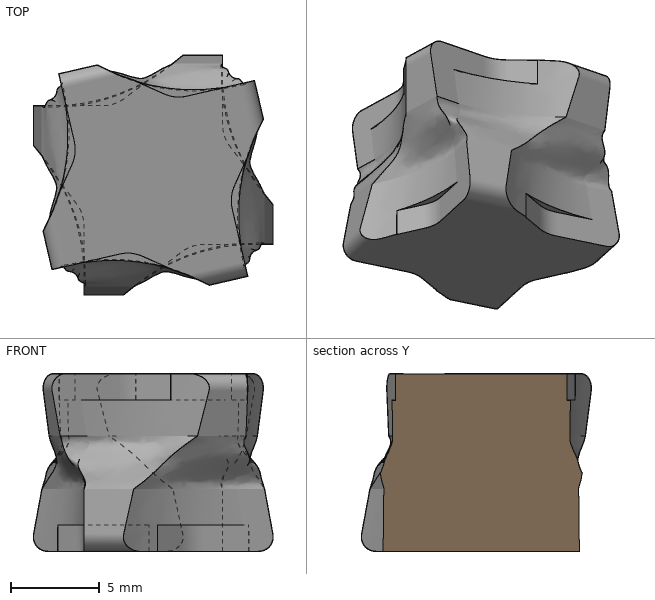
import cadquery as cq
import math

SPAN = 13.5
HEIGHT = 10.0
WAIST_HEIGHT = HEIGHT / 2
FLIP_AXIS_ANGLE = -83.5
LOBE_ANGLES = (0, 90, 180, 270)

FLANK = 3.9
SHOULDER_HEIGHT = 3.51
TIP_DRAFT = 10.4
TIP_FILLET = 0.82

TIP_SIDE_X = -1.88
TIP_SIDE_DRIFT = 0.22
FLANK_END_X = 5.26
FLANK_END_DRIFT = -0.15
HOLLOW_DEPTH = 0.66
HOLLOW_DRIFT = -0.05

NOTCH_HEIGHT = 1.48
NOTCH_START = (0.23, -5.36)
NOTCH_ANGLE = 37.0
NOTCH_RADIUS = 2.0

WAIST_HALF_WIDTH = 5.48
WAIST_SIDE_REACH = 5.75
WAIST_CORNER_REACH = 7.09
WAIST_CORNER_OFFSET = 43.0
WAIST_SIDE_OFFSET = WAIST_CORNER_OFFSET / 2

SHOULDER_STEPS = 2
CORNER_EASE_START = 3.71
STRAIGHT_TOLERANCE = 1.35e-07


DRAFT = math.radians(TIP_DRAFT)
TIP_TRIM = TIP_FILLET * math.tan(math.pi / 4 + DRAFT / 2)
TIP_REACH = SPAN / 2 + TIP_TRIM - TIP_FILLET


def polar(radius, degrees):
    angle = math.radians(degrees)
    return (radius * math.cos(angle), radius * math.sin(angle))


def turn(point, degrees):
    x, y = point
    return polar(math.hypot(x, y), math.degrees(math.atan2(y, x)) + degrees)


def blend(start, end, weight):
    return tuple(a + (b - a) * weight for a, b in zip(start, end))


def lobe_points(height):
    """Corner, tip middle, tip side, hollow middle and flank end of the lobe on -Y."""
    tip_y = height * math.tan(DRAFT) - TIP_REACH
    corner = (-FLANK, tip_y)
    tip_side = (TIP_SIDE_X + TIP_SIDE_DRIFT * height, tip_y)
    flank_end = (FLANK_END_X + FLANK_END_DRIFT * height, -FLANK)
    depth = HOLLOW_DEPTH + HOLLOW_DRIFT * height
    chord_x = flank_end[0] - tip_side[0]
    chord_y = flank_end[1] - tip_side[1]
    chord = math.hypot(chord_x, chord_y)
    middle_x, middle_y = blend(tip_side, flank_end, 0.5)
    hollow = (middle_x - depth * chord_y / chord, middle_y + depth * chord_x / chord)
    return corner, blend(corner, tip_side, 0.5), tip_side, hollow, flank_end


def waist_points():
    """Waist points that the five lobe points run into."""
    return (
        polar(WAIST_CORNER_REACH, FLIP_AXIS_ANGLE - WAIST_CORNER_OFFSET),
        polar(WAIST_SIDE_REACH, FLIP_AXIS_ANGLE - WAIST_SIDE_OFFSET),
        polar(WAIST_HALF_WIDTH, FLIP_AXIS_ANGLE),
        polar(WAIST_SIDE_REACH, FLIP_AXIS_ANGLE + WAIST_SIDE_OFFSET),
        polar(WAIST_CORNER_REACH, FLIP_AXIS_ANGLE + WAIST_CORNER_OFFSET),
    )


def flip(point):
    """Half turn about the axis that swaps the layers, seen along Z."""
    x, y = point
    return turn((x, -y), 2 * FLIP_AXIS_ANGLE)


def curve(start, middle, end):
    """Parabolic edge through three points, or a line when they are in line."""
    pull = middle * 2 - (start + end) * 0.5
    if (pull - middle).Length < STRAIGHT_TOLERANCE:
        return cq.Edge.makeLine(start, end)
    return cq.Edge.makeBezier([start, pull, end])


def section(points, z):
    """Closed outline at height z, repeating the five points of one lobe around the axis."""
    edges = []
    for angle in LOBE_ANGLES:
        first, left, ridge, right, last = [cq.Vector(*turn(p, angle), z) for p in points]
        next_first = cq.Vector(*turn(points[0], angle + 90), z)
        edges.append(curve(first, left, ridge))
        edges.append(curve(ridge, right, last))
        edges.append(cq.Edge.makeLine(last, next_first))
    return cq.Wire.assembleEdges(edges)


def tapered_lobes():
    """Straight-sided part of a layer, from its end face to its shoulder."""
    sections = [section(lobe_points(h), h - WAIST_HEIGHT) for h in (0, SHOULDER_HEIGHT)]
    return cq.Workplane(cq.Solid.makeLoft(sections, True))


def tip_rounding():
    """Sharp corner to remove between the end face and the tip face on -Y."""
    centre_y = TIP_TRIM - TIP_REACH
    tangent_y = TIP_TRIM * math.sin(DRAFT) - TIP_REACH
    tangent_z = TIP_TRIM * math.cos(DRAFT)
    middle_y, middle_z = polar(TIP_FILLET, 225 - TIP_DRAFT / 2)
    return (
        cq.Workplane("YZ", origin=(0, 0, -WAIST_HEIGHT))
        .moveTo(centre_y, 0)
        .threePointArc((centre_y + middle_y, TIP_FILLET + middle_z), (tangent_y, tangent_z))
        .lineTo(-TIP_REACH, 0)
        .close()
        .extrude(SPAN / 2, both=True)
    )


def progress(height, start):
    """Fraction of the way from a starting height to the waist."""
    return max(0, height - start) / (WAIST_HEIGHT - start)


def waist():
    """Smooth body from the shoulder of one layer to the shoulder of the other."""
    lower = []
    for step in range(SHOULDER_STEPS):
        height = SHOULDER_HEIGHT + (WAIST_HEIGHT - SHOULDER_HEIGHT) * step / SHOULDER_STEPS
        t = progress(height, SHOULDER_HEIGHT)
        side_weight = t ** 2
        ridge_weight = t ** 2 * (3 - 2 * t)
        corner_weight = progress(height, CORNER_EASE_START) ** 2
        weights = (corner_weight, side_weight, ridge_weight, side_weight, corner_weight)
        points = [blend(*pair) for pair in zip(lobe_points(height), waist_points(), weights)]
        lower.append((points, height - WAIST_HEIGHT))
    upper = [([flip(p) for p in reversed(points)], -z) for points, z in reversed(lower)]
    levels = lower + [(waist_points(), 0)] + upper
    return cq.Workplane(cq.Solid.makeLoft([section(*level) for level in levels], False))


def notch():
    """Cutter with a sloped wall, a round bend and a wall flush with the lobe flank."""
    start_x, start_y = NOTCH_START
    half_bend = math.radians(NOTCH_ANGLE / 2)
    vertex_x = start_x + (-FLANK - start_y) / math.tan(2 * half_bend)
    trim = NOTCH_RADIUS * math.tan(half_bend)
    trim_x, trim_y = polar(trim, NOTCH_ANGLE)
    bend_end_x = vertex_x + trim
    bend_middle = (
        bend_end_x - NOTCH_RADIUS * math.sin(half_bend),
        -FLANK - NOTCH_RADIUS * (1 - math.cos(half_bend)),
    )
    outer_y = -SPAN
    return (
        cq.Workplane(origin=(0, 0, -WAIST_HEIGHT))
        .moveTo(start_x, outer_y)
        .lineTo(start_x, start_y)
        .lineTo(vertex_x - trim_x, -FLANK - trim_y)
        .threePointArc(bend_middle, (bend_end_x, -FLANK))
        .lineTo(SPAN, -FLANK)
        .lineTo(SPAN, outer_y)
        .close()
        .extrude(NOTCH_HEIGHT)
    )


layer = tapered_lobes()
for angle in LOBE_ANGLES:
    for cutter in (tip_rounding(), notch()):
        layer = layer.cut(cutter.rotate((0, 0, 0), (0, 0, 1), angle))

flipped = layer.rotate((0, 0, 0), (*polar(1, FLIP_AXIS_ANGLE), 0), 180)
result = layer.union(waist()).union(flipped)